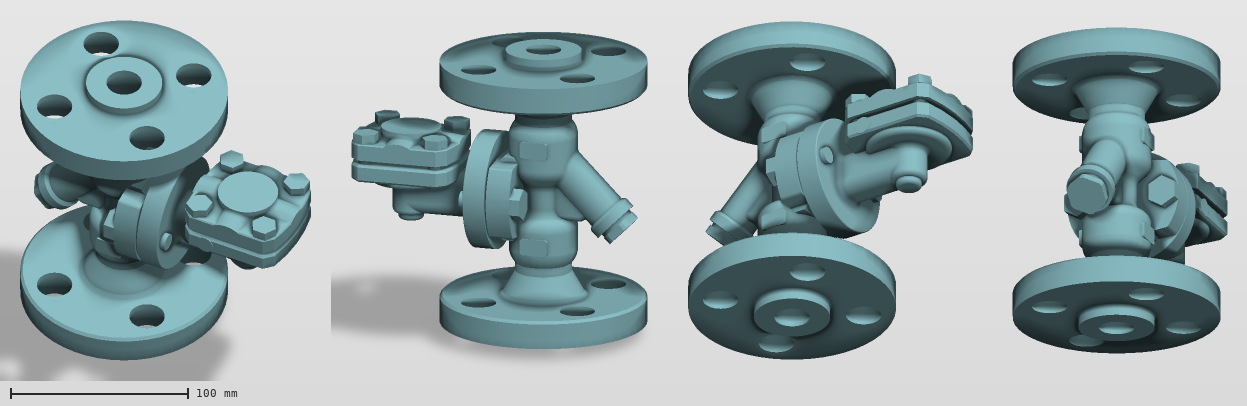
import cadquery as cq
import math


PICK_MARGIN = 0.2

HALF_HEIGHT = 82.5
FLANGE_DIA = 117.0
FLANGE_THICKNESS = 15.9
FLANGE_CHAMFER = 1.5
FACE_DIA = 42.9
FACE_HEIGHT = 6.4
FACE_FILLET = 1.5
BOLT_HOLE_DIA = 20.0
BOLT_HOLE_OFFSET = 29.1
FLANGE_TOP = HALF_HEIGHT - FACE_HEIGHT
FLANGE_BOTTOM = FLANGE_TOP - FLANGE_THICKNESS

BORE_DIA = 20.0
HUB_DIA = 45.7
HUB_FOOT_DIA = 51.1
HUB_FOOT_HEIGHT = 1.7
HUB_FOOT_RADIUS = 5.0
NECK_DIA = 32.0
NECK_TOP = 46.2
NECK_BOTTOM = 41.2
BARREL_DIA = 39.0
SHOULDER_START = 33.0
WAIST_DIA = 23.0
UPPER_BARREL_END = 15.7
UPPER_ROUND_DIA = 34.3
UPPER_ROUND_END = 10.0
FLARE_DIA = 26.5
FLARE_END = 6.0
WAIST_TOP = 2.0
WAIST_BOTTOM = -8.2
LOWER_ROUND_DIA = 29.8
LOWER_ROUND_END = -13.7
LOWER_BARREL_END = -21.0

PAD_WIDTH = 15.9
PAD_HEIGHT = 9.5
PAD_CENTRE = 28.3
PAD_FACE = 19.8
PAD_CORNER = 1.7

STRAINER_TILT = 45
STRAINER_AXIS_Z = 27.8
STRAINER_DIA = 23.0
STRAINER_FILLET = 2.0
COLLAR_DIA = 27.0
COLLAR_START = 52.8
COLLAR_END = 60.1
COLLAR_CHAMFER = 1.7
PLUG_NECK_DIA = 21.0
PLUG_HEX = 21.0
PLUG_START = 62.3
PLUG_END = 67.2
WEB_WIDTH = 14.4
WEB_FILLET = 3.4
WEB_OUTER_X = -23.5
WEB_BOTTOM = -15.0
WEB_TOP = 6.7

SIDE_Z = -1.8
DISC_DIA = 67.0
DISC_START = 24.8
DISC_END = 37.5
DISC_FILLET = 0.7
PLATE_START = 9.9
PLATE_END = 23.6
PLATE_HEIGHT = 44.2
PLATE_EDGE_HEIGHT = 20.1
PLATE_FILLET = 2.5
BRIDGE_WIDTH = 33.5
BRIDGE_HEIGHT = 48.5
BRIDGE_END = 21.8
BRIDGE_CHAMFER = 3.0
JOINT_DIA = 35.0
BOLT_SPACING = 51.0
BOLT_DIA = 9.5
BOLT_END = 40.7
BOLT_HEX = 15.7
BOLT_HEAD = 6.0

CAPSULE_X = 78.0
CAPSULE_WIDTH = 55.6
CAPSULE_LENGTH = 56.3
CAPSULE_BULGE = 61.8
CAPSULE_CORNER = 5.0
BASE_BOTTOM = 3.7
BASE_TOP = 13.5
COVER_BOTTOM = 16.4
COVER_TOP = 25.8
COVER_CHAMFER = 0.7
BASE_CHAMFER = 1.2
GASKET_DIA = 33.0
CAP_DIA = 34.0
CAP_TOP = 31.2
CAP_FILLET = 1.2
RIB_START = 13.4
RIB_INNER_WIDTH = 19.1
RIB_INNER_HEIGHT = 4.4
RIB_OUTER_WIDTH = 16.0
RIB_OUTER_HEIGHT = 2.5
SCREW_OFFSET = 20.5
SCREW_DIA = 8.0
SCREW_HEX = 12.9
BOSS_DIA = 10.0
BOSS_X = 65.0
BOSS_HEIGHT = 0.5

DOME_DIA = 48.5
DOME_BOTTOM = 0.0
DOME_FILLET = 3.0
ARM_WIDTH = 21.0
ARM_TOP = 8.4
ARM_BOTTOM = -18.1
ARM_FILLET = 7.0
ARM_ROOT_FILLET = 3.2
COLUMN_BOTTOM = -19.0
COLUMN_FILLET = 2.7
COLUMN_ROOT_FILLET = 2.3
SPIGOT_DIA = 14.5
SPIGOT_BOTTOM = -22.8
SPIGOT_FILLET = 2.2


def x_cylinder(diameter, start, end, y=0):
    """A cylinder along X at the height of the side flange."""
    plane = cq.Workplane("YZ", origin=(start, y, SIDE_Z))
    return plane.circle(diameter / 2).extrude(end - start)


def x_bolt(y):
    """One flange bolt along X: a hexagon head with corners up and down, and its shank."""
    corner_dia = BOLT_HEX / math.cos(math.pi / 6)
    plane = cq.Workplane("YZ", origin=(PLATE_START - BOLT_HEAD, y, SIDE_Z))
    head = plane.transformed(rotate=(0, 0, 90)).polygon(6, corner_dia).extrude(BOLT_HEAD)
    return head.union(x_cylinder(BOLT_DIA, PLATE_START, BOLT_END, y))


def pipe_flange_half():
    """The upper flange with its raised face, hub and neck, as a solid of revolution."""
    face_r = FACE_DIA / 2
    flange_r = FLANGE_DIA / 2
    half = (
        cq.Workplane("XZ")
        .moveTo(0, HALF_HEIGHT)
        .lineTo(face_r, HALF_HEIGHT)
        .lineTo(face_r, FLANGE_TOP + FACE_FILLET)
        .radiusArc((face_r + FACE_FILLET, FLANGE_TOP), -FACE_FILLET)
        .lineTo(flange_r, FLANGE_TOP)
        .lineTo(flange_r, FLANGE_BOTTOM + FLANGE_CHAMFER)
        .lineTo(flange_r - FLANGE_CHAMFER, FLANGE_BOTTOM)
        .lineTo(HUB_FOOT_DIA / 2, FLANGE_BOTTOM)
        .radiusArc((HUB_DIA / 2, FLANGE_BOTTOM - HUB_FOOT_HEIGHT), -HUB_FOOT_RADIUS)
        .lineTo(NECK_DIA / 2, NECK_TOP)
        .lineTo(NECK_DIA / 2, NECK_BOTTOM)
        .lineTo(0, NECK_BOTTOM)
        .close()
        .revolve(360, (0, 0, 0), (0, 1, 0))
    )
    holes = (
        cq.Workplane("XY", origin=(0, 0, FLANGE_BOTTOM))
        .rect(2 * BOLT_HOLE_OFFSET, 2 * BOLT_HOLE_OFFSET, forConstruction=True)
        .vertices()
        .circle(BOLT_HOLE_DIA / 2)
        .extrude(FLANGE_THICKNESS)
    )
    return half.cut(holes)


def tangent_radius(width, height):
    """The radius of an arc that starts along Z and ends this far across and along."""
    return (width**2 + height**2) / (2 * width)


def barrels():
    """The upper and lower barrels with the waist between them, as a solid of revolution."""
    r = BARREL_DIA / 2
    neck_r = NECK_DIA / 2
    waist_r = WAIST_DIA / 2
    flare_r = FLARE_DIA / 2
    upper_r = UPPER_ROUND_DIA / 2
    lower_r = LOWER_ROUND_DIA / 2
    shoulder = tangent_radius(r - neck_r, NECK_BOTTOM - SHOULDER_START)
    upper_round = tangent_radius(r - upper_r, UPPER_BARREL_END - UPPER_ROUND_END)
    lower_round = tangent_radius(r - lower_r, LOWER_ROUND_END - LOWER_BARREL_END)
    flare = tangent_radius(flare_r - waist_r, FLARE_END - WAIST_TOP)
    waist_round = tangent_radius(lower_r - waist_r, WAIST_BOTTOM - LOWER_ROUND_END)
    return (
        cq.Workplane("XZ")
        .moveTo(0, NECK_BOTTOM)
        .lineTo(neck_r, NECK_BOTTOM)
        .radiusArc((r, SHOULDER_START), shoulder)
        .lineTo(r, UPPER_BARREL_END)
        .radiusArc((upper_r, UPPER_ROUND_END), upper_round)
        .lineTo(flare_r, FLARE_END)
        .radiusArc((waist_r, WAIST_TOP), -flare)
        .lineTo(waist_r, WAIST_BOTTOM)
        .radiusArc((lower_r, LOWER_ROUND_END), -waist_round)
        .radiusArc((r, LOWER_BARREL_END), lower_round)
        .lineTo(r, -SHOULDER_START)
        .radiusArc((neck_r, -NECK_BOTTOM), shoulder)
        .lineTo(0, -NECK_BOTTOM)
        .close()
        .revolve(360, (0, 0, 0), (0, 1, 0))
    )


def marking_pads():
    """Flat rounded pads on both Y sides of both barrels."""
    pads = (
        cq.Workplane("XZ", origin=(0, PAD_FACE, 0))
        .pushPoints([(0, PAD_CENTRE), (0, -PAD_CENTRE)])
        .rect(PAD_WIDTH, PAD_HEIGHT)
        .extrude(2 * PAD_FACE)
    )
    return pads.edges("|Y").fillet(PAD_CORNER)


def strainer_plane(distance):
    """A plane square to the strainer axis, this far from the pipe axis."""
    plane = cq.Plane(origin=(0, 0, STRAINER_AXIS_Z), xDir=(0, 1, 0), normal=(1, 0, 0))
    plane = plane.rotated((180 - STRAINER_TILT, 0, 0))
    return cq.Workplane(plane).workplane(offset=distance)


def strainer_tube():
    """The round tube of the strainer, up to its collar."""
    return strainer_plane(0).circle(STRAINER_DIA / 2).extrude(COLLAR_START)


def strainer_end():
    """The collar and the hexagon plug with rounded corners at the end of the strainer."""
    collar = (
        strainer_plane(COLLAR_START)
        .circle(COLLAR_DIA / 2)
        .extrude(COLLAR_END - COLLAR_START)
        .faces(">Z")
        .edges()
        .chamfer(COLLAR_CHAMFER)
    )
    neck = strainer_plane(COLLAR_END).circle(PLUG_NECK_DIA / 2).extrude(PLUG_START - COLLAR_END)
    length = PLUG_END - PLUG_START
    plug = strainer_plane(PLUG_START).circle(STRAINER_DIA / 2).extrude(length)
    hexagon = (
        strainer_plane(PLUG_START)
        .transformed(rotate=(0, 0, 90))
        .polygon(6, PLUG_HEX / math.cos(math.pi / 6))
        .extrude(length)
    )
    return collar.union(neck).union(plug.intersect(hexagon))


def strainer_web():
    """A rounded web that fills the corner between the strainer and the waist."""
    web = (
        cq.Workplane("XZ", origin=(0, WEB_WIDTH / 2, 0))
        .moveTo(0, WEB_TOP)
        .lineTo(WEB_TOP - STRAINER_AXIS_Z, WEB_TOP)
        .lineTo(WEB_BOTTOM + WEB_TOP - STRAINER_AXIS_Z, WEB_BOTTOM + WEB_TOP)
        .lineTo(WEB_OUTER_X, WEB_BOTTOM)
        .lineTo(0, WEB_BOTTOM)
        .close()
        .extrude(WEB_WIDTH)
    )
    return web.faces("<Y or >Y").edges().fillet(WEB_FILLET)


def side_plate():
    """The side flange: a round plate with a slightly arched top and bottom."""
    edge_y = math.sqrt((DISC_DIA / 2) ** 2 - PLATE_EDGE_HEIGHT**2)
    plate = (
        cq.Workplane("YZ", origin=(PLATE_START, 0, SIDE_Z))
        .moveTo(edge_y, -PLATE_EDGE_HEIGHT)
        .threePointArc((DISC_DIA / 2, 0), (edge_y, PLATE_EDGE_HEIGHT))
        .threePointArc((0, PLATE_HEIGHT / 2), (-edge_y, PLATE_EDGE_HEIGHT))
        .threePointArc((-DISC_DIA / 2, 0), (-edge_y, -PLATE_EDGE_HEIGHT))
        .threePointArc((0, -PLATE_HEIGHT / 2), (edge_y, -PLATE_EDGE_HEIGHT))
        .close()
        .extrude(PLATE_END - PLATE_START)
    )
    return plate.edges("|X").fillet(PLATE_FILLET)


def plate_bridge():
    """Small blocks that join the top and bottom of the side flange to the barrels."""
    bridge = (
        cq.Workplane("XY")
        .box(BRIDGE_END - PLATE_START, BRIDGE_WIDTH, BRIDGE_HEIGHT)
        .edges("|Y")
        .chamfer(BRIDGE_CHAMFER)
    )
    return bridge.translate(((BRIDGE_END + PLATE_START) / 2, 0, SIDE_Z))


def make_connector():
    """The pipe with its flanges, strainer, side flange and flange bolts, bored from both ends."""
    upper = pipe_flange_half()
    pipe = barrels().union(upper).union(upper.mirror("XY"))
    body = pipe.union(strainer_tube())
    strainer_joint = cq.selectors.BoxSelector(
        (-BARREL_DIA / 2, -STRAINER_DIA, WAIST_BOTTOM),
        (0, STRAINER_DIA, STRAINER_AXIS_Z),
    )
    body = body.edges(strainer_joint).fillet(STRAINER_FILLET)
    body = body.union(strainer_web()).union(strainer_end()).union(marking_pads()).union(side_plate())
    body = body.union(plate_bridge())
    body = body.union(x_cylinder(JOINT_DIA, PLATE_END, DISC_START))
    for side in (-1, 1):
        body = body.union(x_bolt(side * BOLT_SPACING / 2))
    bore = (
        cq.Workplane("XY", origin=(0, 0, NECK_BOTTOM))
        .circle(BORE_DIA / 2)
        .extrude(HALF_HEIGHT - NECK_BOTTOM)
    )
    return body.cut(bore).cut(bore.mirror("XY"))


def capsule_plate(bottom, top):
    """A plate with chamfered corners and bowed X sides."""
    half_length = CAPSULE_LENGTH / 2
    half_width = CAPSULE_WIDTH / 2
    bow_y = half_width - CAPSULE_CORNER
    flat_x = half_length - CAPSULE_CORNER
    return (
        cq.Workplane("XY", origin=(CAPSULE_X, 0, bottom))
        .moveTo(-flat_x, half_width)
        .lineTo(flat_x, half_width)
        .lineTo(half_length, bow_y)
        .threePointArc((CAPSULE_BULGE / 2, 0), (half_length, -bow_y))
        .lineTo(flat_x, -half_width)
        .lineTo(-flat_x, -half_width)
        .lineTo(-half_length, -bow_y)
        .threePointArc((-CAPSULE_BULGE / 2, 0), (-half_length, bow_y))
        .close()
        .extrude(top - bottom)
    )


def capsule_cylinder(diameter, bottom, top):
    """An upright cylinder on the capsule axis."""
    return cq.Workplane("XY", origin=(CAPSULE_X, 0, bottom)).circle(diameter / 2).extrude(top - bottom)


def rib_section(distance, width, height):
    """An arched outline that faces along X, with its chord at the base of the rib."""
    plane = cq.Workplane("YZ", origin=(distance, 0, COVER_TOP - COVER_CHAMFER))
    return plane.moveTo(-width / 2, 0).threePointArc((0, height), (width / 2, 0)).close()


def cover_rib(angle, reach):
    """An arched rib that slopes and narrows from the cap to the edge of the cover."""
    inner = rib_section(RIB_START, RIB_INNER_WIDTH, RIB_INNER_HEIGHT).wires().val()
    outer = rib_section(reach, RIB_OUTER_WIDTH, RIB_OUTER_HEIGHT).wires().val()
    rib = cq.Workplane(cq.Solid.makeLoft([inner, outer], True))
    return rib.rotate((0, 0, 0), (0, 0, 1), angle).translate((CAPSULE_X, 0, 0))


def cover_screw(side_x, side_y):
    """A cover screw: a hexagon head and the shank that crosses the gap below the cover."""
    centre = (CAPSULE_X + side_x * SCREW_OFFSET, side_y * SCREW_OFFSET)
    turn = 30 if side_x * side_y > 0 else 0
    head = (
        cq.Workplane("XY", origin=(*centre, COVER_TOP))
        .transformed(rotate=(0, 0, turn))
        .polygon(6, SCREW_HEX / math.cos(math.pi / 6))
        .extrude(CAP_TOP - COVER_TOP)
    )
    shank = (
        cq.Workplane("XY", origin=(*centre, BASE_TOP))
        .circle(SCREW_DIA / 2)
        .extrude(COVER_BOTTOM - BASE_TOP)
    )
    return head.union(shank)


def make_capsule():
    """The base plate, gasket and ribbed cover of the trap, with the cover screws."""
    cover = capsule_plate(COVER_BOTTOM, COVER_TOP).faces(">Z").edges().chamfer(COVER_CHAMFER)
    base = capsule_plate(BASE_BOTTOM, BASE_TOP).faces("<Z or >Z").edges().chamfer(BASE_CHAMFER)
    capsule = cover.union(base)
    capsule = capsule.union(capsule_cylinder(GASKET_DIA, BASE_TOP, COVER_BOTTOM))
    capsule = capsule.union(capsule_cylinder(CAP_DIA, COVER_TOP, CAP_TOP))
    for angle in (0, 180):
        capsule = capsule.union(cover_rib(angle, CAPSULE_BULGE / 2))
    for angle in (90, 270):
        capsule = capsule.union(cover_rib(angle, CAPSULE_WIDTH / 2))
    cap_r = CAP_DIA / 2 + PICK_MARGIN
    cap_foot = cq.selectors.BoxSelector(
        (CAPSULE_X - cap_r, -cap_r, COVER_BOTTOM + PICK_MARGIN),
        (CAPSULE_X + cap_r, cap_r, CAP_TOP - PICK_MARGIN),
        boundingbox=True,
    )
    capsule = capsule.edges(cap_foot).fillet(CAP_FILLET)
    for side_x in (-1, 1):
        for side_y in (-1, 1):
            capsule = capsule.union(cover_screw(side_x, side_y))
    boss = (
        cq.Workplane("XZ", origin=(BOSS_X, -CAPSULE_WIDTH / 2, (BASE_BOTTOM + BASE_TOP) / 2))
        .circle(BOSS_DIA / 2)
        .extrude(BOSS_HEIGHT)
    )
    return capsule.union(boss)


def trap_arm():
    """The rounded arm from the disc to the column, and the column and spigot at its end."""
    length = CAPSULE_X - DISC_END
    arm = (
        cq.Workplane("XY")
        .box(length, ARM_WIDTH, ARM_TOP - ARM_BOTTOM)
        .edges("|X")
        .fillet(ARM_FILLET)
        .translate((DISC_END + length / 2, 0, (ARM_TOP + ARM_BOTTOM) / 2))
    )
    column = capsule_cylinder(ARM_WIDTH, COLUMN_BOTTOM, BASE_BOTTOM)
    column = column.faces("<Z").edges().fillet(COLUMN_FILLET)
    spigot = capsule_cylinder(SPIGOT_DIA, SPIGOT_BOTTOM, COLUMN_BOTTOM)
    spigot = spigot.faces("<Z").edges().fillet(SPIGOT_FILLET)
    flare = (
        cq.Workplane("XZ", origin=(CAPSULE_X, 0, 0))
        .moveTo(0, DOME_BOTTOM)
        .lineTo(ARM_WIDTH / 2 + COLUMN_ROOT_FILLET, DOME_BOTTOM)
        .radiusArc((ARM_WIDTH / 2, DOME_BOTTOM - COLUMN_ROOT_FILLET), -COLUMN_ROOT_FILLET)
        .lineTo(0, DOME_BOTTOM - COLUMN_ROOT_FILLET)
        .close()
        .revolve(360, (0, 0, 0), (0, 1, 0))
    )
    dome = capsule_cylinder(DOME_DIA, DOME_BOTTOM, BASE_BOTTOM).faces("<Z").edges().fillet(DOME_FILLET)
    return arm.union(column).union(spigot).union(flare).union(dome)


def make_trap():
    """The trap: a disc that fits the flange bolts, the arm and the capsule."""
    disc = x_cylinder(DISC_DIA, DISC_START, DISC_END).faces(">X").edges().fillet(DISC_FILLET)
    for side in (-1, 1):
        disc = disc.cut(x_cylinder(BOLT_DIA, DISC_START, DISC_END, side * BOLT_SPACING / 2))
    trap = disc.union(trap_arm())
    half_width = ARM_WIDTH / 2 + PICK_MARGIN
    arm_root = cq.selectors.BoxSelector(
        (DISC_END - PICK_MARGIN, -half_width, ARM_BOTTOM - PICK_MARGIN),
        (DISC_END + PICK_MARGIN, half_width, ARM_TOP + PICK_MARGIN),
    )
    return trap.edges(arm_root).fillet(ARM_ROOT_FILLET).union(make_capsule())


connector = make_connector().solids()
trap = make_trap().solids()

result = cq.Compound.makeCompound([connector.val(), trap.val()])